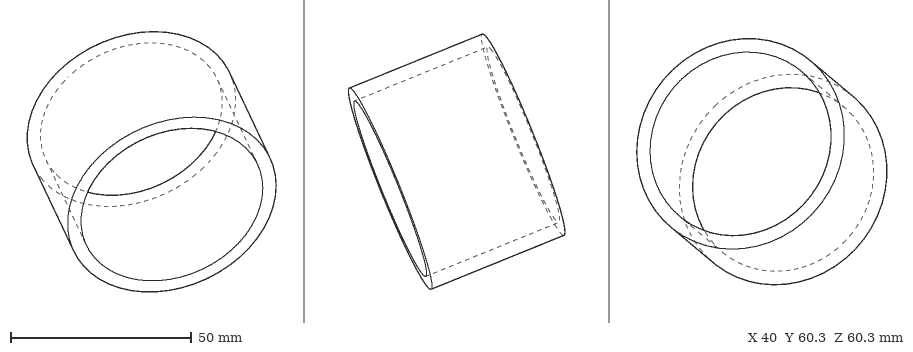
import cadquery as cq

outer_diameter = 60.3
inner_diameter = 52.5
length = 40.0

result = (
    cq.Workplane("YZ", origin=(-length / 2, 0, 0))
    .circle(outer_diameter / 2)
    .circle(inner_diameter / 2)
    .extrude(length)
)